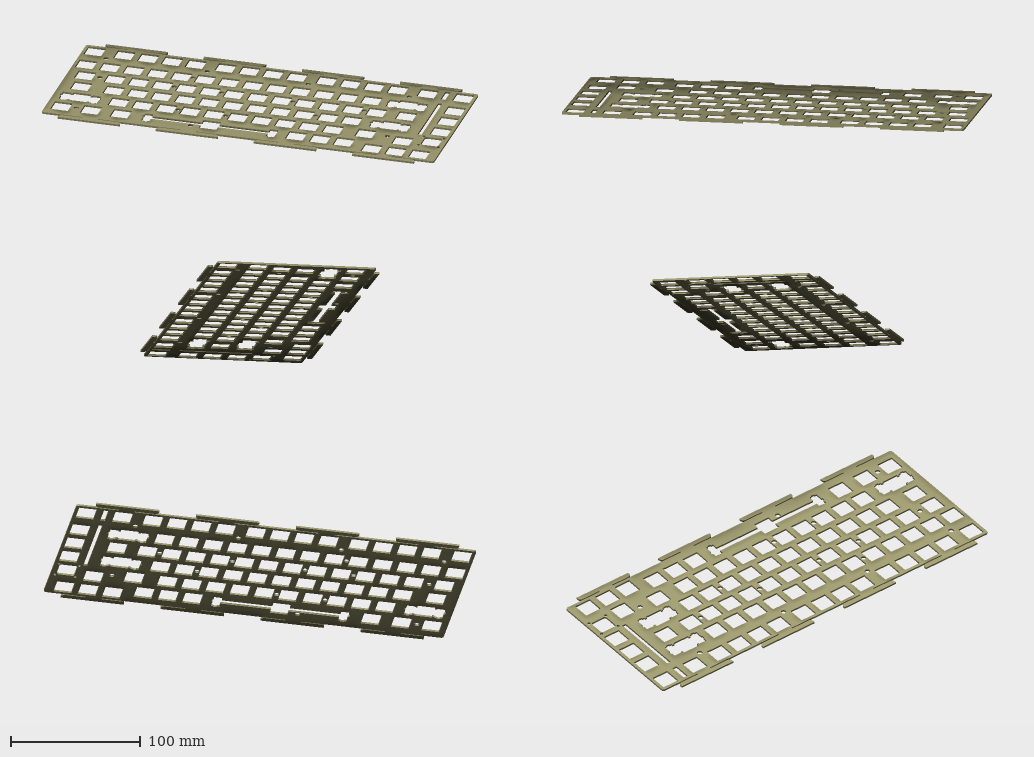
import cadquery as cq

PLATE_LENGTH = 314.3
KEYS_WIDE = 16.5
KEYS_DEEP = 6.5
PITCH = PLATE_LENGTH / KEYS_WIDE
PLATE_DEPTH = KEYS_DEEP * PITCH
TOTAL_DEPTH = 134.0
THICKNESS = 1.5
CORNER_RADIUS = 2.0

TAB_COUNT = 4
TAB_SPACING = PLATE_LENGTH / TAB_COUNT
TAB_LENGTH = 49.7
TAB_NECK_LENGTH = 12.5
TAB_GAP = 1.0
TAB_REACH = (TOTAL_DEPTH - PLATE_DEPTH) / 2
TAB_CORNER_RADIUS = 2.8

WEB = 5.0
SWITCH_SIZE = PITCH - WEB

STAB_REACH = 12.0
SPACE_BAR_REACH = 50.0
STAB_WIDTH = 6.5
STAB_TOP = 5.7
STAB_BOTTOM = -7.0
STAB_FOOT_WIDTH = 3.0
STAB_FOOT_BOTTOM = -8.0
STAB_NOTCH_DEPTH = 1.0
STAB_NOTCH_TOP = 2.3
STAB_NOTCH_BOTTOM = -0.5
STAB_BRIDGE_TOP = 4.7
STAB_BRIDGE_BOTTOM = -5.7
SPACE_BRIDGE_TOP = 2.3
SPACE_BRIDGE_BOTTOM = -2.3

SCREW_HOLE_DIAMETER = 4.0
ENCODER_HOLE_DIAMETER = 2.4
ENCODER_HOLE_SPACING_X = 16.0
ENCODER_HOLE_SPACING_Y = 15.7
ENCODER_CORNER_RADIUS = 2.0
ENCODER_SHIFT = -2.0

SLOT_COLUMN = 14.75
SHORT_SLOT_WIDTH = 3.8
LONG_SLOT_WIDTH = 3.0

FUNCTION_ROW = 0
NUMBER_ROW = 1.25
TOP_ROW = 2.25
HOME_ROW = 3.25
LOWER_ROW = 4.25
SPACE_ROW = 5.25
ARROW_DROP = 0.25
LAST_COLUMN = 15.5
OUTSIDE = -1


def key_point(column, row):
    """Centre of a key, counted in key units from the first key at the back left."""
    x = (column + 0.5) * PITCH - PLATE_LENGTH / 2
    y = PLATE_DEPTH / 2 - (row + 0.5) * PITCH
    return x, y


def run(first, count):
    """Columns of neighbouring one-unit keys."""
    return [first + i for i in range(count)]


SWITCH_ROWS = [
    (FUNCTION_ROW, [0, *run(1.25, 4), *run(5.5, 4), *run(9.75, 4), 14, LAST_COLUMN]),
    (NUMBER_ROW, [*run(0, 13), LAST_COLUMN]),
    (TOP_ROW, [0.25, *run(1.5, 12), 13.75, LAST_COLUMN]),
    (HOME_ROW, [0.375, *run(1.75, 11), LAST_COLUMN]),
    (LOWER_ROW, [*run(2.25, 10), 12.625]),
    (LOWER_ROW + ARROW_DROP, [14.25]),
    (SPACE_ROW, [0.125, 1.375, 2.625, *run(10, 3)]),
    (SPACE_ROW + ARROW_DROP, run(13.25, 3)),
]

STABILIZED_KEYS = [(13.5, NUMBER_ROW), (13.375, HOME_ROW), (0.625, LOWER_ROW)]
SPACE_BAR = (6.375, SPACE_ROW)

SCREW_ROWS = [
    (FUNCTION_ROW + 0.5, [0.625, 4.875, 9.125, 13.375]),
    (NUMBER_ROW, [4.5]),
    (TOP_ROW, [0.875, 4, 6, 9, 12]),
    (HOME_ROW, [10.25]),
    (LOWER_ROW, [4.75, 6.75, 13.55]),
    (SPACE_ROW, [0.75]),
    (SPACE_ROW + ARROW_DROP, [5.625]),
]


def points_of(rows):
    return [key_point(column, row) for row, columns in rows for column in columns]


def block(x1, x2, y1, y2):
    """Rectangle between two corners, as thick as the plate."""
    return (
        cq.Workplane("XY")
        .center((x1 + x2) / 2, (y1 + y2) / 2)
        .rect(abs(x2 - x1), abs(y2 - y1))
        .extrude(THICKNESS)
    )


def back_tab(x):
    """T-shaped tab on the back edge: a bar held off the plate by a short neck."""
    edge = PLATE_DEPTH / 2
    bar = block(x - TAB_LENGTH / 2, x + TAB_LENGTH / 2, edge + TAB_GAP, edge + TAB_REACH)
    bar = bar.edges("|Z and <Y").fillet(TAB_CORNER_RADIUS)
    neck = block(x - TAB_NECK_LENGTH / 2, x + TAB_NECK_LENGTH / 2, edge - TAB_GAP, edge + TAB_REACH)
    return bar.union(neck)


def blank_plate():
    plate = cq.Workplane("XY").rect(PLATE_LENGTH, PLATE_DEPTH).extrude(THICKNESS)
    plate = plate.edges("|Z").fillet(CORNER_RADIUS)
    for i in range(TAB_COUNT):
        tab = back_tab((i - (TAB_COUNT - 1) / 2) * TAB_SPACING)
        plate = plate.union(tab).union(tab.mirror("XZ"))
    return plate


def stabilizer_side(x, y, side, reach, bridge_top, bridge_bottom):
    """One housing opening with its foot, outer notch and bridge to the switch opening."""
    middle = x + side * reach
    outer = middle + side * STAB_WIDTH / 2
    inner = middle - side * STAB_WIDTH / 2
    housing = block(inner, outer, y + STAB_BOTTOM, y + STAB_TOP)
    foot = block(
        middle - STAB_FOOT_WIDTH / 2, middle + STAB_FOOT_WIDTH / 2, y + STAB_FOOT_BOTTOM, y
    )
    notch = block(
        middle, outer + side * STAB_NOTCH_DEPTH, y + STAB_NOTCH_BOTTOM, y + STAB_NOTCH_TOP
    )
    bridge = block(x, middle, y + bridge_bottom, y + bridge_top)
    return housing.union(foot).union(notch).union(bridge)


def stabilized_opening(key, reach, bridge_top, bridge_bottom):
    """Switch opening joined to a stabilizer opening on each side."""
    x, y = key_point(*key)
    opening = cq.Workplane("XY").center(x, y).rect(SWITCH_SIZE, SWITCH_SIZE).extrude(THICKNESS)
    for side in (-1, 1):
        opening = opening.union(stabilizer_side(x, y, side, reach, bridge_top, bridge_bottom))
    return opening


def cut_switches(plate):
    return plate.pushPoints(points_of(SWITCH_ROWS)).rect(SWITCH_SIZE, SWITCH_SIZE).cutThruAll()


def cut_stabilized_keys(plate):
    for key in STABILIZED_KEYS:
        plate = plate.cut(stabilized_opening(key, STAB_REACH, STAB_BRIDGE_TOP, STAB_BRIDGE_BOTTOM))
    return plate.cut(
        stabilized_opening(SPACE_BAR, SPACE_BAR_REACH, SPACE_BRIDGE_TOP, SPACE_BRIDGE_BOTTOM)
    )


def cut_screw_holes(plate):
    return plate.pushPoints(points_of(SCREW_ROWS)).circle(SCREW_HOLE_DIAMETER / 2).cutThruAll()


def cut_encoder(plate):
    """Rounded square opening with a small round hole off each corner."""
    x, y = key_point(LAST_COLUMN, LOWER_ROW)
    x += ENCODER_SHIFT
    opening = cq.Workplane("XY").center(x, y).rect(SWITCH_SIZE, SWITCH_SIZE).extrude(THICKNESS)
    opening = opening.edges("|Z").fillet(ENCODER_CORNER_RADIUS)
    corner_holes = (
        cq.Workplane("XY")
        .center(x, y)
        .rect(ENCODER_HOLE_SPACING_X, ENCODER_HOLE_SPACING_Y, forConstruction=True)
        .vertices()
        .circle(ENCODER_HOLE_DIAMETER / 2)
        .extrude(THICKNESS)
    )
    return plate.cut(opening).cut(corner_holes)


def cut_slots(plate):
    """Short slot beside the function row and a long one beside the three rows below it."""
    x, short_y = key_point(SLOT_COLUMN, FUNCTION_ROW)
    long_top = key_point(SLOT_COLUMN, NUMBER_ROW - 0.5)[1]
    long_bottom = key_point(SLOT_COLUMN, HOME_ROW + 0.5)[1]
    short_slot = block(
        x - SHORT_SLOT_WIDTH / 2, x + SHORT_SLOT_WIDTH / 2,
        short_y - SWITCH_SIZE / 2, short_y + SWITCH_SIZE / 2,
    )
    long_slot = block(x - LONG_SLOT_WIDTH / 2, x + LONG_SLOT_WIDTH / 2, long_bottom, long_top)
    return plate.cut(short_slot).cut(long_slot)


def left_region():
    """Everything left of the stepped parting line, which runs between the keys."""
    steps = [
        (8, (FUNCTION_ROW + NUMBER_ROW) / 2),
        (7.5, NUMBER_ROW + 0.5),
        (8, TOP_ROW + 0.5),
        (8.25, HOME_ROW + 0.5),
        (7.75, KEYS_DEEP),
    ]
    points = [key_point(OUTSIDE, OUTSIDE), key_point(steps[0][0], OUTSIDE)]
    for (column, row), (next_column, _) in zip(steps, steps[1:]):
        points += [key_point(column, row), key_point(next_column, row)]
    points += [key_point(*steps[-1]), key_point(OUTSIDE, KEYS_DEEP)]
    return cq.Workplane("XY").polyline(points).close().extrude(THICKNESS)


plate = blank_plate()
plate = cut_switches(plate)
plate = cut_stabilized_keys(plate)
plate = cut_screw_holes(plate)
plate = cut_encoder(plate)
plate = cut_slots(plate)

left_half = plate.intersect(left_region())
right_half = plate.cut(left_region())

result = cq.Compound.makeCompound([left_half.val(), right_half.val()])